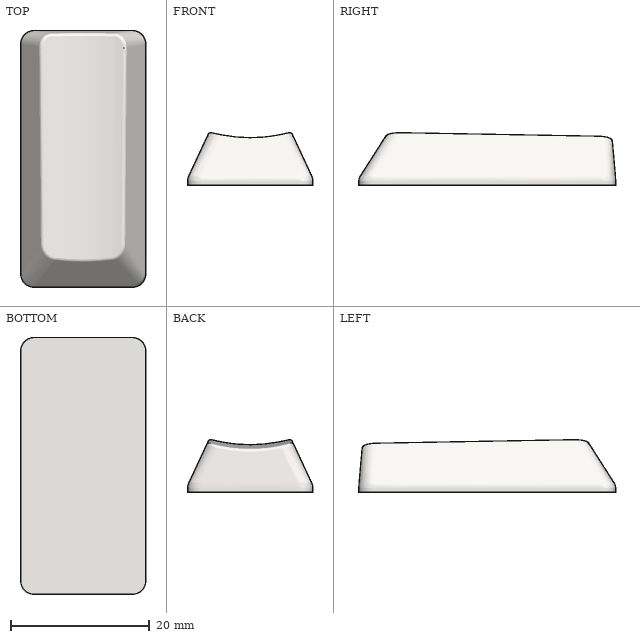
import cadquery as cq
import math

width = 18.15
length = 37.2
corner_radius = 2.0
rim_height = 1.0
bend_half_height = 0.4
bend_sections = 5

side_lean = 25.0
front_lean = 32.5
back_lean = 5.0

dish_radius = 21.2
dish_tilt = 1.15
dish_floor_height = 6.62
top_edge_radius = 0.45

blank_height = 9.67
bend_bottom = rim_height - bend_half_height
bend_top = rim_height + bend_half_height


def inset(lean, height):
    """Distance a wall has moved inwards at a height: upright, then a parabolic bend, then straight."""
    slope = math.tan(math.radians(lean))
    if height >= bend_top:
        return slope * (height - rim_height)
    rise = max(height - bend_bottom, 0)
    return slope * rise**2 / (4 * bend_half_height)


def outline(height):
    """Rounded rectangle formed by the four walls at a height."""
    front = -length / 2 + inset(front_lean, height)
    back = length / 2 - inset(back_lean, height)
    size_x = width - 2 * inset(side_lean, height)
    centre = (0, (front + back) / 2, height)
    rectangle = cq.Workplane("XY", origin=centre).rect(size_x, back - front).val()
    return rectangle.fillet2D(corner_radius, rectangle.Vertices())


def blank():
    """Upright rim, rounded bend and leaning walls, left high for the dish."""
    step = (bend_top - bend_bottom) / (bend_sections - 1)
    bend_heights = [bend_bottom + i * step for i in range(bend_sections)]
    rim = cq.Solid.makeLoft([outline(0), outline(bend_bottom)], True)
    bend = cq.Solid.makeLoft([outline(height) for height in bend_heights])
    walls = cq.Solid.makeLoft([outline(bend_top), outline(blank_height)], True)
    return cq.Workplane(rim).union(cq.Workplane(bend)).union(cq.Workplane(walls))


def dish_cutter():
    """Long cylinder that hollows the top, tilted about mid-length."""
    return (
        cq.Workplane("XZ")
        .center(0, dish_floor_height + dish_radius)
        .circle(dish_radius)
        .extrude(length, both=True)
        .rotate((0, 0, dish_floor_height), (1, 0, dish_floor_height), -dish_tilt)
    )


dished = blank().cut(dish_cutter())
result = dished.faces("%CYLINDER").faces(">Z").edges().fillet(top_edge_radius)